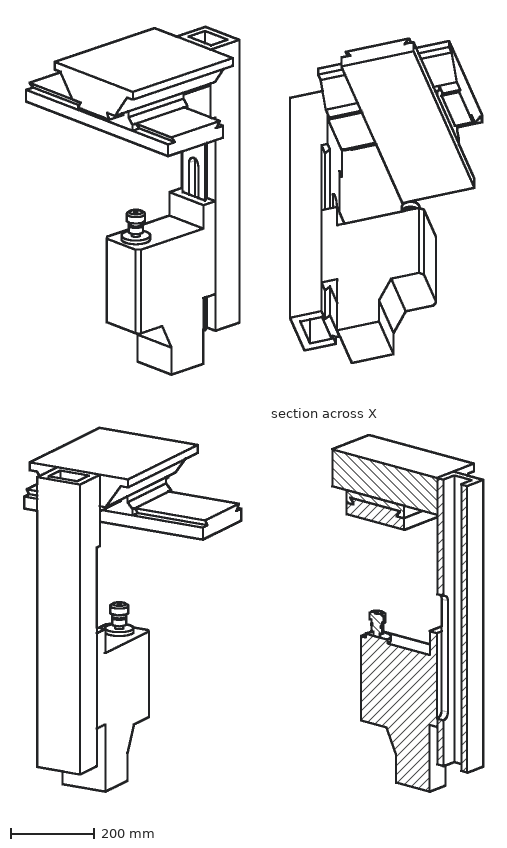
import cadquery as cq
import math


DOVETAIL_HEIGHT = 15.0
FLANK_ANGLE = 30.0
FLANK_OFFSET = DOVETAIL_HEIGHT * math.tan(math.radians(FLANK_ANGLE))

COLUMN_WIDTH = 120.0
COLUMN_DEPTH = 95.0
COLUMN_BOTTOM = -730.0
COLUMN_WALL = 20.0
COLUMN_TAIL_WIDTH = 80.0
COLUMN_TAIL_TOP = -179.5
SLOT_WIDTH = 32.0
SLOT_TOP = -297.0

TABLE_WIDTH = 275.0
TABLE_LENGTH = 330.0
TABLE_RIM_HEIGHT = 20.0
TABLE_RIM_OVERHANG = 20.0
TABLE_WAIST_WIDTH = 150.0
TABLE_BODY_HEIGHT = 80.0
TABLE_TAIL_WIDTH = 110.0
TABLE_TAIL_BOTTOM = -TABLE_BODY_HEIGHT - DOVETAIL_HEIGHT

BEAM_LENGTH = 500.0
BEAM_DEPTH = 182.0
BEAM_SLAB_HEIGHT = 30.5
BEAM_SHIFT = -35.5
BEAM_CENTER_Y = -290.0
RAIL_WIDTH = 160.0
RAIL_FLANK_OFFSET = 12.0
SADDLE_FLOOR_HEIGHT = 15.0
RAIL_TOP = TABLE_TAIL_BOTTOM - SADDLE_FLOOR_HEIGHT
SLAB_TOP = RAIL_TOP - DOVETAIL_HEIGHT

SADDLE_BASE_WIDTH = 179.0

PLATE_TOP = -395.0
PLATE_BOTTOM = -635.0
PLATE_FRONT = -119.0
SHELF_TOP = -455.5
NOSE_FRONT = -335.0
NOSE_BOTTOM = -671.0
NOSE_CHAMFER = 10.0
SLOPE_START = -255.0
LEG_FRONT = -224.5
SLOPE_BOTTOM = -735.0
CARRIAGE_BOTTOM = -805.0
BOSS_DIAMETER = 69.0
BOSS_HEIGHT = 10.0

KNOB_Y = -286.0
NECK_DIAMETER = 20.0
NECK_HEIGHT = 10.0
BODY_DIAMETER = 35.0
BODY_HEIGHT = 29.0
GROOVE_BOTTOM = 16.0
GROOVE_WIDTH = 3.0
GROOVE_DEPTH = 3.0
HEAD_DIAMETER = 44.0
HEAD_HEIGHT = 22.0
HEAD_CHAMFER_HEIGHT = 5.0
HEAD_TOP_DIAMETER = 31.0
SOCKET_DIAMETER = 8.0
SOCKET_DEPTH = 2.5


def symmetric(right_half):
    """Closed outline from its right half, listed from the top down."""
    return right_half + [(-x, y) for x, y in reversed(right_half)]


def column_tail():
    """Dovetail prism on the front of the column, widest at the front face."""
    front = COLUMN_TAIL_WIDTH / 2
    outline = symmetric([
        (front - FLANK_OFFSET, -COLUMN_DEPTH + DOVETAIL_HEIGHT),
        (front, -COLUMN_DEPTH),
    ])
    tail_length = COLUMN_TAIL_TOP - COLUMN_BOTTOM
    return cq.Workplane("XY").workplane(offset=COLUMN_BOTTOM).polyline(outline).close().extrude(tail_length)


def beam_rail():
    """Dovetail prism on top of the beam, widest at its top."""
    top = RAIL_WIDTH / 2
    outline = symmetric([
        (top, RAIL_TOP),
        (top - RAIL_FLANK_OFFSET, SLAB_TOP),
    ])
    plane = cq.Workplane("YZ", origin=(BEAM_SHIFT, BEAM_CENTER_Y, 0))
    return plane.polyline(outline).close().extrude(BEAM_LENGTH / 2, both=True)


def make_column():
    column_height = -COLUMN_BOTTOM
    column = (
        cq.Workplane("XY", origin=(0, -COLUMN_DEPTH / 2, COLUMN_BOTTOM))
        .rect(COLUMN_WIDTH, COLUMN_DEPTH)
        .rect(COLUMN_WIDTH - 2 * COLUMN_WALL, COLUMN_DEPTH - 2 * COLUMN_WALL)
        .extrude(column_height)
    )

    tail_length = COLUMN_TAIL_TOP - COLUMN_BOTTOM
    recesses = (
        cq.Workplane("XY", origin=(0, -COLUMN_DEPTH, COLUMN_BOTTOM))
        .box(COLUMN_WIDTH, DOVETAIL_HEIGHT, tail_length, centered=(True, False, False))
        .cut(column_tail())
    )

    slot_center = (COLUMN_TAIL_TOP + COLUMN_BOTTOM) / 2
    slot_length = 2 * (SLOT_TOP - slot_center)
    slot = (
        cq.Workplane("XZ", origin=(0, -COLUMN_DEPTH, slot_center))
        .slot2D(slot_length, SLOT_WIDTH, 90)
        .extrude(-COLUMN_WALL)
    )
    return column.cut(recesses).cut(slot)


def make_table():
    tail_bottom = TABLE_TAIL_WIDTH / 2
    outline = symmetric([
        (TABLE_WIDTH / 2, 0),
        (TABLE_WIDTH / 2, -TABLE_RIM_HEIGHT),
        (TABLE_WIDTH / 2 - TABLE_RIM_OVERHANG, -TABLE_RIM_HEIGHT),
        (TABLE_WAIST_WIDTH / 2, -TABLE_BODY_HEIGHT),
        (tail_bottom - FLANK_OFFSET, -TABLE_BODY_HEIGHT),
        (tail_bottom, TABLE_TAIL_BOTTOM),
    ])
    return cq.Workplane("XZ", origin=(0, -COLUMN_DEPTH, 0)).polyline(outline).close().extrude(TABLE_LENGTH)


def make_beam():
    slab = cq.Workplane("XY", origin=(BEAM_SHIFT, BEAM_CENTER_Y, SLAB_TOP - BEAM_SLAB_HEIGHT)).box(
        BEAM_LENGTH, BEAM_DEPTH, BEAM_SLAB_HEIGHT, centered=(True, True, False)
    )
    return slab.union(beam_rail())


def make_saddle():
    waist = TABLE_WAIST_WIDTH / 2
    base = SADDLE_BASE_WIDTH / 2
    outline = symmetric([
        (waist, -TABLE_BODY_HEIGHT),
        (waist, TABLE_TAIL_BOTTOM),
        (base, RAIL_TOP),
        (base, SLAB_TOP),
    ])
    block = (
        cq.Workplane("XZ", origin=(0, BEAM_CENTER_Y, 0))
        .polyline(outline)
        .close()
        .extrude(BEAM_DEPTH / 2, both=True)
    )
    return block.cut(make_table()).cut(beam_rail())


def make_carriage():
    plate_back = -COLUMN_DEPTH + DOVETAIL_HEIGHT
    side_outline = [
        (plate_back, PLATE_TOP),
        (PLATE_FRONT, PLATE_TOP),
        (PLATE_FRONT, SHELF_TOP),
        (NOSE_FRONT, SHELF_TOP),
        (NOSE_FRONT, NOSE_BOTTOM),
        (SLOPE_START, NOSE_BOTTOM),
        (LEG_FRONT, SLOPE_BOTTOM),
        (LEG_FRONT, CARRIAGE_BOTTOM),
        (PLATE_FRONT, CARRIAGE_BOTTOM),
        (PLATE_FRONT, PLATE_BOTTOM),
        (plate_back, PLATE_BOTTOM),
    ]
    block = cq.Workplane("YZ").polyline(side_outline).close().extrude(COLUMN_WIDTH / 2, both=True)
    block = block.faces("<Y").edges("|Z").chamfer(NOSE_CHAMFER)

    boss = (
        cq.Workplane("XY", origin=(0, KNOB_Y, SHELF_TOP))
        .circle(BOSS_DIAMETER / 2)
        .extrude(BOSS_HEIGHT)
    )
    return block.cut(column_tail()).union(boss)


def make_knob():
    neck = NECK_DIAMETER / 2
    body = BODY_DIAMETER / 2
    head = HEAD_DIAMETER / 2
    body_bottom = NECK_HEIGHT
    groove_bottom = body_bottom + GROOVE_BOTTOM
    groove_top = groove_bottom + GROOVE_WIDTH
    head_bottom = body_bottom + BODY_HEIGHT
    knob_top = head_bottom + HEAD_HEIGHT
    socket_bottom = knob_top - SOCKET_DEPTH

    half_section = [
        (0, 0),
        (neck, 0),
        (neck, body_bottom),
        (body, body_bottom),
        (body, groove_bottom),
        (body - GROOVE_DEPTH, groove_bottom),
        (body - GROOVE_DEPTH, groove_top),
        (body, groove_top),
        (body, head_bottom),
        (head, head_bottom),
        (head, knob_top - HEAD_CHAMFER_HEIGHT),
        (HEAD_TOP_DIAMETER / 2, knob_top),
        (SOCKET_DIAMETER / 2, knob_top),
        (SOCKET_DIAMETER / 2, socket_bottom),
        (0, socket_bottom),
    ]
    plane = cq.Workplane("XZ", origin=(0, KNOB_Y, SHELF_TOP + BOSS_HEIGHT))
    return plane.polyline(half_section).close().revolve(360, (0, 0), (0, 1))


column = make_column()
table = make_table()
beam = make_beam()
saddle = make_saddle()
carriage = make_carriage()
knob = make_knob()

result = cq.Compound.makeCompound([
    column.val(),
    table.val(),
    beam.val(),
    saddle.val(),
    carriage.val(),
    knob.val(),
])